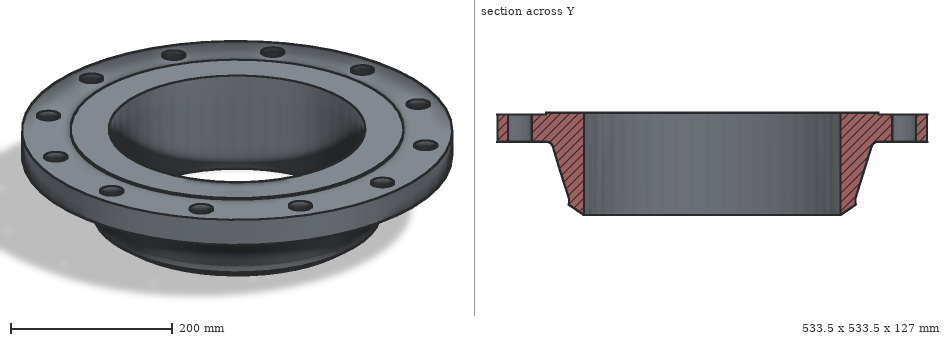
import cadquery as cq

flange_diameter = 533.5
face_diameter = 413.0
face_height = 2.0
flange_thickness = 34.0
total_height = 127.0

bore_diameter = 318.0
hub_top_diameter = 399.5
hub_fillet_radius = 8.5
weld_end_diameter = 356.5
weld_end_height = 8.5
bevel_height = 13.0
bevel_bottom_diameter = 319.0

hole_count = 12
hole_circle_diameter = 476.0
hole_diameter = 29.0

flange_top = total_height - face_height
flange_bottom = flange_top - flange_thickness
weld_end_top = bevel_height + weld_end_height


def make_hub():
    """Solid of revolution: bevel, short cylinder and cone up to the flange."""
    profile = (
        cq.Workplane("XZ")
        .moveTo(0, 0)
        .lineTo(bevel_bottom_diameter / 2, 0)
        .lineTo(weld_end_diameter / 2, bevel_height)
        .lineTo(weld_end_diameter / 2, weld_end_top)
        .lineTo(hub_top_diameter / 2, flange_bottom)
        .lineTo(0, flange_bottom)
        .close()
    )
    return profile.revolve(360, (0, 0, 0), (0, 1, 0))


def make_flange():
    plate = cq.Workplane("XY").workplane(offset=flange_bottom).circle(flange_diameter / 2)
    face = cq.Workplane("XY").workplane(offset=flange_top).circle(face_diameter / 2)
    return plate.extrude(flange_thickness).union(face.extrude(face_height))


def make_bolt_holes():
    return (
        cq.Workplane("XY")
        .workplane(offset=flange_bottom)
        .polarArray(hole_circle_diameter / 2, 0, 360, hole_count)
        .circle(hole_diameter / 2)
        .extrude(flange_thickness)
    )


def fillet_hub_root(body):
    """Round the inside corner where the cone meets the underside of the flange."""
    underside = body.faces("|Z").faces(">Z[1]")
    return underside.edges(cq.selectors.RadiusNthSelector(0)).fillet(hub_fillet_radius)


bore = cq.Workplane("XY").circle(bore_diameter / 2).extrude(total_height)

body = fillet_hub_root(make_flange().union(make_hub()))
result = body.cut(bore).cut(make_bolt_holes())